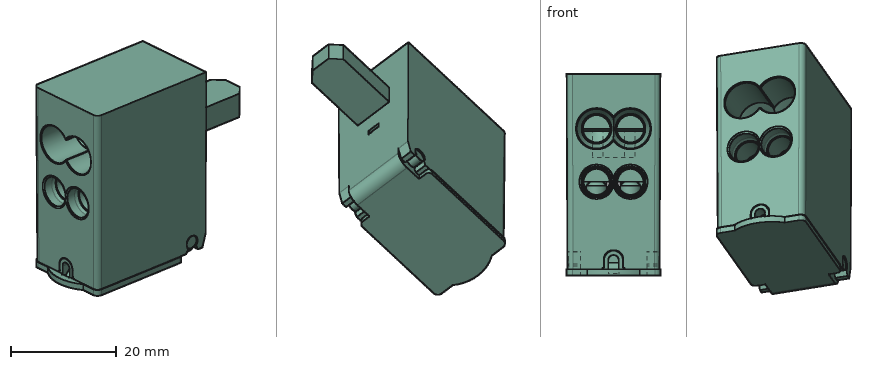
import cadquery as cq

width = 17.8
depth = 28.0
height = 38.2
corner_radius = 1.05
draft_inset = 0.15

plate_thickness = 1.25
plate_length = 22.1
plate_back_radius = 0.9
lip_half_width = 5.0
lip_reach = 1.55

hinge_half_width = 6.3
hinge_corner_radius = 2.4
foot_slope_depth = 0.85
foot_slope_height = 2.7
pin_y = depth - 3.45
pin_z = 3.2
pin_radius = 1.3
pin_clearance = 0.1
pin_recess = 0.22
pin_slot_neck = 1.95
pin_slot_mouth = 3.03

tongue_width = 8.0
tongue_thickness = 5.0
tongue_length = 44.5 - lip_reach - depth
tongue_bottom = 22.45
tongue_chamfer = 2.0

hole_offset = 3.2
upper_z = 27.8
upper_mouth_radius = 3.95
upper_entry_radius = 3.75
upper_floor_radius = 2.85
upper_bore_radius = 2.6
upper_mouth_chamfer = 0.22
upper_entry_depth = 8.45
upper_taper_depth = 10.7
upper_stop_depth = 11.55
upper_full_depth = 17.8
upper_band_height = 0.5
upper_ridge_half_width = 0.15
lower_z = 17.75
lower_mouth_radius = 3.43
lower_entry_radius = 2.95
lower_ring_radius = 2.7
lower_bore_radius = 2.45
lower_mouth_chamfer = 0.25
lower_entry_depth = 2.05
lower_ring_depth = 2.85
lower_stop_depth = 8.0
lower_full_depth = 13.35

screw_radius = 1.95
screw_chamfer = 0.7
screw_y = 10.7
slit_width = 2.6
slit_height = 1.1

latch_radius = 1.85
latch_top = 4.85
latch_gap = 0.11
latch_groove_depth = 0.9
latch_flare = 0.35
latch_slot_radius = 1.0
latch_slot_top = 3.9
latch_slot_depth = 2.65
latch_ramp_length = 1.95
latch_slot_floor = 0.45
latch_ramp_top = 2.4


def box(x_min, x_max, y_min, y_max, z_min, z_max):
    """Box given by its limits along each axis."""
    size = (x_max - x_min, y_max - y_min, z_max - z_min)
    return cq.Workplane("XY").box(*size, centered=False).translate((x_min, y_min, z_min))


def front_rounded_outline(plane, inset):
    """Rectangle with rounded front corners, drawn in from the sides and the front."""
    half = width / 2 - inset
    return (
        plane.moveTo(-half, depth)
        .lineTo(-half, inset + corner_radius)
        .radiusArc((-half + corner_radius, inset), -corner_radius)
        .lineTo(half - corner_radius, inset)
        .radiusArc((half, inset + corner_radius), -corner_radius)
        .lineTo(half, depth)
        .close()
    )


def housing():
    """Drafted housing with its lower back edge sloped."""
    bottom = front_rounded_outline(cq.Workplane("XY", origin=(0, 0, plate_thickness)), draft_inset)
    rise = height - plate_thickness
    body = front_rounded_outline(bottom.workplane(offset=rise), 0).loft(ruled=True)
    slope = (
        cq.Workplane("YZ", origin=(-width / 2, 0, 0))
        .moveTo(depth, plate_thickness)
        .lineTo(depth, plate_thickness + foot_slope_height)
        .lineTo(depth - foot_slope_depth, plate_thickness)
        .close()
        .extrude(width)
    )
    return body.cut(slope)


def cover_plate():
    """Bottom plate with rounded corners and the bowed lip."""
    plate = box(-width / 2, width / 2, 0, plate_length, 0, plate_thickness)
    plate = plate.edges("|Z and <Y").fillet(corner_radius)
    plate = plate.edges("|Z and >Y").fillet(plate_back_radius)
    lip = (
        cq.Workplane("XY")
        .moveTo(-lip_half_width, 0)
        .threePointArc((0, -lip_reach), (lip_half_width, 0))
        .lineTo(lip_half_width, corner_radius)
        .lineTo(-lip_half_width, corner_radius)
        .close()
        .extrude(plate_thickness)
    )
    return plate.union(lip)


def hinge_core():
    """Central hinge block that rounds off the lower back edge."""
    top = plate_thickness + foot_slope_height
    core = box(-hinge_half_width, hinge_half_width, plate_length / 2, depth, 0, top)
    return core.edges("|X and >Y and <Z").fillet(hinge_corner_radius)


def pin_slots():
    """Snap-in slots for the hinge pin, one on each side of the hinge block."""
    hole_radius = pin_radius + pin_clearance
    neck_z = pin_z - (hole_radius**2 - (pin_slot_neck / 2) ** 2) ** 0.5
    plane = cq.Workplane("YZ", origin=(-width / 2, 0, 0))
    hole = plane.center(pin_y, pin_z).circle(hole_radius).extrude(width)
    mouth = (
        plane.moveTo(pin_y - pin_slot_neck / 2, neck_z)
        .lineTo(pin_y + pin_slot_neck / 2, neck_z)
        .lineTo(pin_y + pin_slot_mouth / 2, plate_thickness)
        .lineTo(pin_y - pin_slot_mouth / 2, plate_thickness)
        .close()
        .extrude(width)
    )
    middle = box(-hinge_half_width, hinge_half_width, 0, depth, 0, height)
    return hole.union(mouth).cut(middle)


def hinge_pin():
    """Pin whose ends sit just inside the housing sides."""
    half = width / 2 - draft_inset - pin_recess
    return cq.Workplane("YZ", origin=(-half, pin_y, pin_z)).circle(pin_radius).extrude(2 * half)


def tongue():
    """Flat contact tongue with chamfered tip corners."""
    half = tongue_width / 2
    bar = box(-half, half, depth, depth + tongue_length, tongue_bottom, tongue_bottom + tongue_thickness)
    return bar.edges("|Z and >Y").chamfer(tongue_chamfer)


def stepped_hole(x, z, profile):
    """Round hole along Y, turned from (radius, depth) pairs."""
    end_radius, end_depth = profile[-1]
    points = [(0, profile[0][1])] + profile
    if end_radius > 0:
        points.append((0, end_depth))
    turned = cq.Workplane("XY").polyline(points).close().revolve(360, (0, 0, 0), (0, 1, 0))
    return turned.translate((x, 0, z))


def upper_hole(x, pointed):
    """Entry with a tapered floor: half of it stops at a shoulder, the lower half runs deeper."""
    entry = stepped_hole(x, upper_z, [
        (upper_mouth_radius, 0),
        (upper_entry_radius, upper_mouth_chamfer),
        (upper_entry_radius, upper_entry_depth),
        (upper_floor_radius, upper_taper_depth),
        (upper_bore_radius, upper_taper_depth),
        (upper_bore_radius, upper_stop_depth),
    ])
    end_profile = [(upper_bore_radius, upper_stop_depth), (upper_bore_radius, upper_full_depth)]
    if pointed:
        end_profile.append((0, upper_full_depth + upper_bore_radius / 2))
    deep = stepped_hole(x, upper_z, end_profile)
    deep_end = upper_full_depth + upper_bore_radius
    below_shoulder = (
        cq.Workplane("YZ", origin=(x - upper_bore_radius, 0, upper_z))
        .moveTo(upper_stop_depth, 0)
        .lineTo(upper_full_depth, -upper_band_height)
        .lineTo(deep_end, -upper_band_height)
        .lineTo(deep_end, -upper_bore_radius)
        .lineTo(upper_stop_depth, -upper_bore_radius)
        .close()
        .extrude(2 * upper_bore_radius)
    )
    return entry.union(deep.intersect(below_shoulder))


def upper_ridge_flat():
    """Flats that blunt the sharp ridges where the two upper entries meet."""
    half = upper_ridge_half_width
    half_height = (upper_entry_radius**2 - (hole_offset - half) ** 2) ** 0.5
    return box(-half, half, 0, upper_entry_depth, upper_z - half_height, upper_z + half_height)


def lower_hole(x):
    """Stepped entry whose lower half opens into a chamber around a clamping screw."""
    entry = stepped_hole(x, lower_z, [
        (lower_mouth_radius, 0),
        (lower_entry_radius, lower_mouth_chamfer),
        (lower_entry_radius, lower_entry_depth),
        (lower_ring_radius, lower_ring_depth),
        (lower_bore_radius, lower_ring_depth),
        (lower_bore_radius, lower_stop_depth),
    ])
    reach = lower_bore_radius
    deep = stepped_hole(x, lower_z, [(reach, lower_stop_depth), (reach, lower_full_depth)])
    lower_half = box(x - reach, x + reach, 0, depth, lower_z - reach, lower_z)
    screw = (
        cq.Workplane("XY", origin=(x, screw_y, lower_z - reach))
        .circle(screw_radius)
        .extrude(reach)
        .faces(">Z")
        .chamfer(screw_chamfer)
    )
    return entry.union(deep.intersect(lower_half).cut(screw))


def rear_slit():
    """Slit between the screws, open through the back face."""
    return box(-slit_width / 2, slit_width / 2, screw_y, depth, lower_z - slit_height, lower_z)


def arch(radius, top, base_half_width, cut_depth):
    """Round-topped block rising from the plate, starting at the front plane."""
    shoulder = top - radius
    return (
        cq.Workplane("XZ")
        .moveTo(-base_half_width, plate_thickness)
        .lineTo(-radius, plate_thickness + latch_flare)
        .lineTo(-radius, shoulder)
        .threePointArc((0, top), (radius, shoulder))
        .lineTo(radius, plate_thickness + latch_flare)
        .lineTo(base_half_width, plate_thickness)
        .close()
        .extrude(-cut_depth)
    )


def latch_groove():
    """Narrow gap that outlines the latch tongue."""
    base = latch_radius + latch_flare
    outer = arch(latch_radius, latch_top, base, latch_groove_depth)
    inner_base = base - latch_gap
    inner = arch(latch_radius - latch_gap, latch_top - latch_gap, inner_base, latch_groove_depth)
    return outer.cut(inner)


def latch_slot():
    """Slot in the latch tongue, sunk into the plate, with a ramp rising to its back wall."""
    half = latch_slot_radius
    slot = arch(half, latch_slot_top, half, latch_slot_depth)
    sunk_z = plate_thickness + latch_flare
    slot = slot.union(box(-half, half, 0, latch_slot_depth, latch_slot_floor, sunk_z))
    ramp = (
        cq.Workplane("YZ", origin=(-half, 0, 0))
        .moveTo(latch_slot_depth - latch_ramp_length, latch_slot_floor)
        .lineTo(latch_slot_depth, latch_slot_floor)
        .lineTo(latch_slot_depth, latch_ramp_top)
        .close()
        .extrude(2 * half)
    )
    return slot.cut(ramp)


result = housing().cut(pin_slots())
for added in (cover_plate(), hinge_core(), hinge_pin(), tongue()):
    result = result.union(added)

for side in (-1, 1):
    result = result.cut(upper_hole(side * hole_offset, pointed=side < 0))
    result = result.cut(lower_hole(side * hole_offset))

for removed in (upper_ridge_flat(), rear_slit(), latch_groove(), latch_slot()):
    result = result.cut(removed)